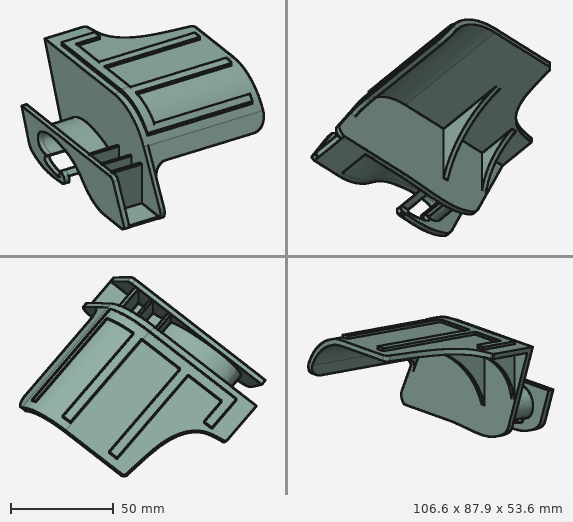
import cadquery as cq
import math

wall_thickness = 2.6
cover_thickness = 2.9
cover_depth = 68.3
cover_top = 52.2
bend_start_x = 64.0
bend_radius = 30.8
bend_angle = math.radians(62.5)
cover_lip_z = 27.4
lip_corner_radius = 8.2
lip_wall_radius = 7.5

foot_z = 1.4
left_foot = (16.8, 9.0)
foot_curve = [(18.9, 5.9), (23.9, 3.0), (29.1, 1.2), (40.8, 0), (53.3, 0.7), (64.3, foot_z)]
toe_start = (103.4, foot_z)
toe_tip = (106.6, 5.7)
toe_end = (106.2, 7.7)

plate_gap = 16.7
plate_thickness = 2.9
plate_top = 25.6
plate_corner_start = (91.7, plate_top)
plate_corner_end = (94.7, 23.8)
plate_toe = (105.3, 2.6)
shell_thickness = 2.1
floor_end_x = 105.1
web_spans = [(67.3, 68.8), (78.6, 80.0), (87.7, 89.6)]
web_top = 25.3

wave = [(87.6, foot_z), (77.7, 3.3), (70.7, 7.3), (62.5, 14.4), (54.9, 18.7), (47.3, 20.8),
        (38.5, 22.0), (31.8, 21.2), (26.8, 18.4), (25.5, 14.7), (26.4, 11.9), (29.4, 9.7), (34.4, 9.4)]
hook_hollow = [(33.9, 8.6), (32.2, 7.8), (31.7, 6.3), (33, 4.8), (35.9, 3.7), (39.7, 2.9), (45.0, 2.5)]
hook_tip_inner = [(45.3, 4.7), (46.2, 6.4)]
hook_tip_outer = [(48.2, 5.3), (49.9, 3.5), (49.7, 1.3), (46.7, 0.4)]
rod_bottom = 4.3

strip_height = 1.4
strip_width = 5.0
comb_start_x = 9.5
comb_end_x = 88.8
comb_front_y = 3.7
comb_back_y = 63.8
short_tooth_back_y = 22.7
comb_bar_width = 5.3
tooth_starts = [35.5, 64.6, 86.4]

gusset_thickness = 2.6
gussets = [(13.0, 21.9, 23.7), (38.0, 38.4, 15.5)]
gusset_bulge = 0.65

bend_center_z = cover_top - bend_radius
bend_end = (
    bend_start_x + bend_radius * math.sin(bend_angle),
    bend_center_z + bend_radius * math.cos(bend_angle),
)


def slab(sketch, front_y, depth):
    """Extrude an XZ outline backwards (+Y) from front_y."""
    return sketch.extrude(-depth).translate((0, front_y, 0))


def bend_point(radius, angle):
    return (bend_start_x + radius * math.sin(angle), bend_center_z + radius * math.cos(angle))


def right_edge_x(z):
    """X of the straight sloping right edge at height z."""
    return bend_end[0] + (bend_end[1] - z) / math.tan(bend_angle)


def left_edge_x(z):
    return left_foot[0] * (cover_top - z) / (cover_top - left_foot[1])


def wall_outline():
    return (
        cq.Workplane("XZ")
        .moveTo(0, cover_top)
        .lineTo(bend_start_x, cover_top)
        .threePointArc(bend_point(bend_radius, bend_angle / 2), bend_end)
        .lineTo(*toe_end)
        .threePointArc(toe_tip, toe_start)
        .lineTo(*foot_curve[-1])
        .spline(foot_curve[-2::-1] + [left_foot], includeCurrent=True)
        .close()
    )


def cover():
    """Flat and bent sheet, trimmed along its left and right rims."""
    inner_radius = bend_radius - cover_thickness
    inner_end = bend_point(inner_radius, bend_angle)
    under_z = cover_top - cover_thickness
    deepest_z = foot_curve[0][1]
    deepest_x = right_edge_x(deepest_z)
    sheet_width = cover_thickness / math.sin(bend_angle)
    sheet = slab(
        cq.Workplane("XZ")
        .moveTo(0, cover_top)
        .lineTo(bend_start_x, cover_top)
        .threePointArc(bend_point(bend_radius, bend_angle / 2), bend_end)
        .lineTo(deepest_x, deepest_z)
        .lineTo(deepest_x - sheet_width, deepest_z)
        .lineTo(*inner_end)
        .threePointArc(bend_point(inner_radius, bend_angle / 2), (bend_start_x, under_z))
        .lineTo(left_edge_x(under_z), under_z)
        .close(),
        0,
        cover_depth,
    )
    side = (
        cq.Workplane("YZ")
        .moveTo(0, cover_top)
        .lineTo(cover_depth, cover_top)
        .lineTo(cover_depth, cover_lip_z + lip_corner_radius)
        .radiusArc((cover_depth - lip_corner_radius, cover_lip_z), lip_corner_radius)
        .lineTo(wall_thickness + lip_wall_radius, cover_lip_z)
        .radiusArc((wall_thickness, cover_lip_z - lip_wall_radius), -lip_wall_radius)
        .lineTo(0, cover_lip_z - lip_wall_radius)
        .close()
        .extrude(toe_tip[0])
    )
    plan = (
        cq.Workplane("XY")
        .lineTo(0, 22.2)
        .threePointArc((0.5, 23.3), (2.0, 23.9))
        .spline(
            [(6.4, 24.6), (11.8, 26.3), (18.1, 31.7), (23.0, 41.5), (25.8, 56.2), (27.0, 65.7)],
            includeCurrent=True,
        )
        .threePointArc((27.5, 67.6), (29.0, cover_depth))
        .lineTo(toe_tip[0], cover_depth)
        .lineTo(toe_tip[0], 0)
        .close()
        .extrude(cover_top)
    )
    return sheet.intersect(side).intersect(plan)


def comb():
    """Strips of constant vertical height that follow the flat and the bend."""
    end_angle = math.asin((comb_end_x - bend_start_x) / bend_radius)
    end_point = bend_point(bend_radius, end_angle)
    mid_point = bend_point(bend_radius, end_angle / 2)
    layer = slab(
        cq.Workplane("XZ")
        .moveTo(comb_start_x, cover_top)
        .lineTo(bend_start_x, cover_top)
        .threePointArc(mid_point, end_point)
        .lineTo(end_point[0], end_point[1] + strip_height)
        .threePointArc(
            (mid_point[0], mid_point[1] + strip_height),
            (bend_start_x, cover_top + strip_height),
        )
        .lineTo(comb_start_x, cover_top + strip_height)
        .close(),
        0,
        cover_depth,
    )

    def strip(x, width, back_y):
        size_y = back_y - comb_front_y
        height = cover_top + strip_height
        return cq.Workplane("XY").box(width, size_y, height, centered=False).translate((x, comb_front_y, 0))

    teeth = strip(comb_start_x, comb_end_x - comb_start_x, comb_front_y + comb_bar_width)
    teeth = teeth.union(strip(comb_start_x, strip_width, short_tooth_back_y))
    for x in tooth_starts:
        teeth = teeth.union(strip(x, strip_width, comb_back_y))
    return layer.intersect(teeth)


def gusset(center_x, reach, low_z):
    """Triangular rib with an outward-curved free edge, filling the corner of wall and cover."""
    top_z = cover_top - cover_thickness
    drop = top_z - low_z
    edge_middle = (wall_thickness + reach * (1 - gusset_bulge), low_z + drop * gusset_bulge)
    return (
        cq.Workplane("YZ")
        .moveTo(wall_thickness, top_z)
        .lineTo(wall_thickness + reach, top_z)
        .threePointArc(edge_middle, (wall_thickness, low_z))
        .close()
        .extrude(gusset_thickness / 2, both=True)
        .translate((center_x, 0, 0))
    )


def front_plate():
    top_left = (left_edge_x(plate_top), plate_top)
    corner_mid = (93.5, 25.1)
    outline = (
        cq.Workplane("XZ")
        .moveTo(*top_left)
        .lineTo(*plate_corner_start)
        .threePointArc(corner_mid, plate_corner_end)
        .lineTo(*plate_toe)
        .lineTo(*toe_start)
        .lineTo(*foot_curve[-1])
        .spline(foot_curve[-2::-1] + [left_foot], includeCurrent=True)
        .close()
    )
    below = -1.1
    opening = (
        cq.Workplane("XZ")
        .moveTo(*wave[0])
        .spline(wave[1:], includeCurrent=True)
        .lineTo(*hook_hollow[0])
        .spline(hook_hollow[1:], includeCurrent=True)
        .spline(hook_tip_inner, includeCurrent=True)
        .spline(hook_tip_outer, includeCurrent=True)
        .lineTo(hook_tip_outer[-1][0], below)
        .lineTo(wave[0][0], below)
        .close()
    )
    front_y = -plate_gap - plate_thickness
    return slab(outline, front_y, plate_thickness).cut(slab(opening, front_y, plate_thickness))


def shell_outer_points():
    """Points one shell thickness outside the wave, from its inner point back to the foot."""
    curve = cq.Edge.makeSpline([cq.Vector(x, 0, z) for x, z in wave])
    steps = 30
    points = []
    for i in range(steps, -1, -1):
        place = curve.positionAt(i / steps)
        along = curve.tangentAt(i / steps)
        points.append((place.x + shell_thickness * along.z, place.z - shell_thickness * along.x))
    return points


def connecting_shell():
    """Wall around the wave, narrowing to the inner point of the scroll."""
    outer = shell_outer_points()
    end_samples = 2
    return slab(
        cq.Workplane("XZ")
        .moveTo(*wave[0])
        .spline(wave[1:], includeCurrent=True)
        .lineTo(*hook_hollow[0])
        .lineTo(*hook_hollow[1])
        .spline(outer[end_samples:], includeCurrent=True)
        .close(),
        -plate_gap,
        plate_gap,
    )


def connecting_floor():
    start_x = wave[0][0]
    return slab(
        cq.Workplane("XZ")
        .moveTo(start_x, foot_z)
        .lineTo(toe_start[0], foot_z)
        .lineTo(floor_end_x, foot_z + shell_thickness)
        .lineTo(start_x, foot_z + shell_thickness)
        .close(),
        -plate_gap,
        plate_gap,
    )


def hook_rod():
    """Bar joining the upper end of the hook tip to the wall."""
    tip = slab(
        cq.Workplane("XZ")
        .moveTo(*hook_hollow[-1])
        .spline(hook_tip_inner, includeCurrent=True)
        .spline(hook_tip_outer, includeCurrent=True)
        .close(),
        -plate_gap,
        plate_gap,
    )
    keep_size = toe_tip[0]
    above = cq.Workplane("XY").box(keep_size, 2 * keep_size, keep_size, centered=(False, True, False))
    return tip.intersect(above.translate((0, 0, rod_bottom)))


def webs():
    """Upright webs standing on the shell; the space below the wave stays open."""
    wave_top = 6
    above_wave = slab(
        cq.Workplane("XZ")
        .moveTo(*wave[0])
        .spline(wave[1 : wave_top + 1], includeCurrent=True)
        .lineTo(wave[wave_top][0], web_top)
        .lineTo(floor_end_x, web_top)
        .lineTo(floor_end_x, foot_z)
        .close(),
        -plate_gap,
        plate_gap,
    )
    blocks = cq.Workplane("XY")
    for start, end in web_spans:
        blocks = blocks.add(
            cq.Workplane("XY")
            .box(end - start, plate_gap, web_top, centered=False)
            .translate((start, -plate_gap, 0))
            .intersect(above_wave)
        )
    return blocks.combine()


result = slab(wall_outline(), 0, wall_thickness).union(cover()).union(comb())
for center_x, reach, low_z in gussets:
    result = result.union(gusset(center_x, reach, low_z))
for feature in (connecting_shell(), connecting_floor(), hook_rod(), webs(), front_plate()):
    result = result.union(feature)